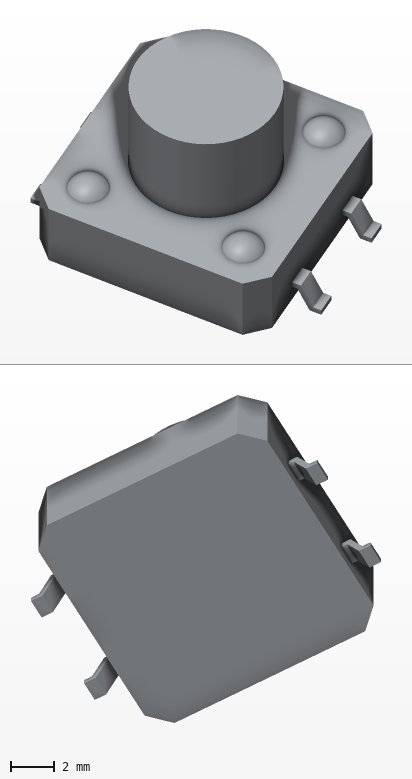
import cadquery as cq
import math

housing_side = 12.0
housing_height = 3.5
corner_chamfer = 1.0

lead_span = 15.0
lead_thickness = 0.3
lead_width = 1.0
lead_spacing = 5.0
lead_top = 1.45
lead_arm_length = 0.45
lead_foot_length = 0.42

dome_diameter = 2.0
dome_height = 0.51
dome_spacing = 8.0

button_diameter = 7.1
button_protrusion = 5.01
recess_diameter = 7.15
recess_depth = 1.75

housing_bottom = lead_thickness
housing_top = housing_bottom + housing_height
recess_floor = housing_top - recess_depth


def make_block():
    return (
        cq.Workplane("XY", origin=(0, 0, housing_bottom))
        .rect(housing_side, housing_side)
        .extrude(housing_height)
        .edges("|Z")
        .chamfer(corner_chamfer)
    )


def make_lead(y_center):
    """One bent strip on the +X side: arm, sloping shank and foot of equal thickness."""
    wall_x = housing_side / 2
    tip_x = lead_span / 2
    arm_end_x = wall_x + lead_arm_length
    foot_start_x = tip_x - lead_foot_length
    slope = math.atan2(lead_top - lead_thickness, foot_start_x - arm_end_x)
    bend_shift = lead_thickness * math.tan(slope / 2)
    return (
        cq.Workplane("XZ", origin=(0, y_center, 0))
        .moveTo(wall_x, lead_top)
        .lineTo(arm_end_x, lead_top)
        .lineTo(foot_start_x, lead_thickness)
        .lineTo(tip_x, lead_thickness)
        .lineTo(tip_x, 0)
        .lineTo(foot_start_x - bend_shift, 0)
        .lineTo(arm_end_x - bend_shift, lead_top - lead_thickness)
        .lineTo(wall_x, lead_top - lead_thickness)
        .close()
        .extrude(lead_width / 2, both=True)
    )


def make_dome(x_center, y_center):
    """Spherical cap standing on the top face of the housing."""
    base_radius = dome_diameter / 2
    sphere_radius = (base_radius**2 + dome_height**2) / (2 * dome_height)
    mid_angle = math.asin(base_radius / sphere_radius) / 2
    mid_point = (
        sphere_radius * math.sin(mid_angle),
        dome_height - sphere_radius * (1 - math.cos(mid_angle)),
    )
    return (
        cq.Workplane("XZ")
        .lineTo(base_radius, 0)
        .threePointArc(mid_point, (0, dome_height))
        .close()
        .revolve(360, (0, 0), (0, 1))
        .translate((x_center, y_center, housing_top))
    )


def make_housing():
    """Block with its leads, domes and button recess, all one solid."""
    housing = make_block()
    for y_side in (-1, 1):
        lead = make_lead(y_side * lead_spacing / 2)
        housing = housing.union(lead).union(lead.mirror("YZ"))
        for x_side in (-1, 1):
            housing = housing.union(make_dome(x_side * dome_spacing / 2, y_side * dome_spacing / 2))
    recess = cq.Workplane("XY", origin=(0, 0, recess_floor)).circle(recess_diameter / 2).extrude(recess_depth)
    return housing.cut(recess).solids()


def make_button():
    """Plain cylinder standing on the recess floor with a thin clearance all round."""
    return (
        cq.Workplane("XY", origin=(0, 0, recess_floor))
        .circle(button_diameter / 2)
        .extrude(recess_depth + button_protrusion)
    )


housing = make_housing()
button = make_button()

result = cq.Compound.makeCompound([housing.val(), button.val()])